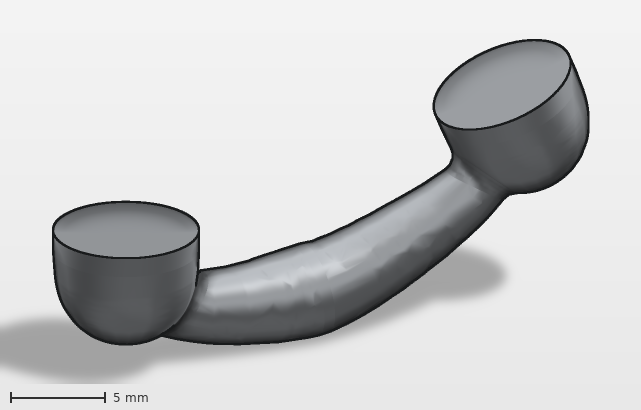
import cadquery as cq

cup_diameter = 7.7
cup_radius = cup_diameter / 2
rim_height = 1.1
cup_depth = 6.2
shoulder_radius = 2.73
shoulder_depth = 5.03
neck_fillet = 0.9
contact_tolerance = 0.003

near_face = (cup_radius, 0)
far_face = (25.65, 4.45)
far_tilt = 22.5

middle_diameter = 4.9
near_stations = [
    (4.4, -3.65, 3.03),
    (6.22, -4.55, 3.52),
    (8.3, -5.15, 3.82),
    (11.22, -5.43, 4.43),
    (14.2, -5.3, middle_diameter),
]
far_stations = [
    (14.8, -5.22, middle_diameter),
    (17.17, -4.58, 4.55),
    (20.02, -3.37, 4.12),
    (23.25, -1.6, 3.45),
    (25.17, 0.05, 3.03),
]


def make_cup(face_centre, tilt):
    """Solid cup with its flat face up, then leaned about X by tilt degrees."""
    rim = cq.Workplane("XY").circle(cup_radius).extrude(-rim_height)
    bowl = (
        cq.Workplane("XZ", origin=(0, 0, -rim_height))
        .lineTo(cup_radius, 0)
        .spline(
            [(shoulder_radius, rim_height - shoulder_depth), (0, rim_height - cup_depth)],
            tangents=[(0, -1), (-1, 0)],
            includeCurrent=True,
        )
        .close()
        .revolve(360, (0, 0), (0, 1))
    )
    cup = rim.union(bowl)
    face_y, face_z = face_centre
    return cup.rotate((0, 0, 0), (1, 0, 0), tilt).translate((0, face_y, face_z))


def section(stations, index, first, last):
    """Circle at one station, square to the line from station first to station last."""
    y, z, diameter = stations[index]
    start_y, start_z, _ = stations[first]
    end_y, end_z, _ = stations[last]
    direction = cq.Vector(0, end_y - start_y, end_z - start_z)
    return cq.Wire.makeCircle(diameter / 2, cq.Vector(0, y, z), direction)


handle_stations = near_stations + far_stations
last_station = len(handle_stations) - 1
band_start = len(near_stations) - 1
band_end = band_start + 1
sections = []
for i in range(len(handle_stations)):
    if i in (band_start, band_end):
        neighbours = (band_start, band_end)
    else:
        neighbours = (max(i - 1, 0), min(i + 1, last_station))
    sections.append(section(handle_stations, i, *neighbours))

near_half = cq.Solid.makeLoft(sections[:band_end])
band = cq.Solid.makeLoft(sections[band_start:band_end + 1], True)
far_half = cq.Solid.makeLoft(sections[band_end:])
handle = cq.Workplane(near_half).union(cq.Workplane(band)).union(cq.Workplane(far_half))


def neck_edges(body, cup):
    """Edges where the handle runs into a cup: they lie on both surfaces."""
    handle_faces = cq.Compound.makeCompound(handle.faces().vals())
    cup_faces = cq.Compound.makeCompound(cup.faces().vals())
    found = []
    for edge in body.edges().vals():
        middle = cq.Vertex.makeVertex(*edge.positionAt(0.5).toTuple())
        if max(middle.distance(handle_faces), middle.distance(cup_faces)) < contact_tolerance:
            found.append(edge)
    return found


near_cup = make_cup(near_face, 0)
far_cup = make_cup(far_face, far_tilt)
result = handle.union(near_cup).union(far_cup)
for cup in (near_cup, far_cup):
    result = result.newObject(neck_edges(result, cup)).fillet(neck_fillet)